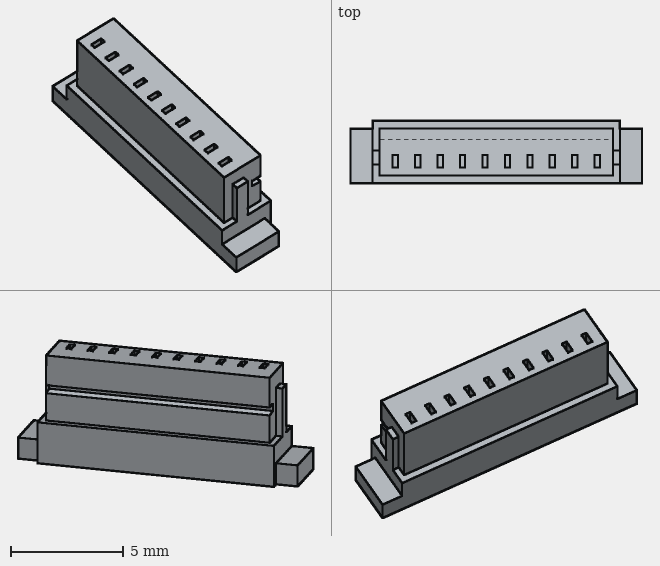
import cadquery as cq

overall_length = 13
overall_width = 2.8
overall_height = 5.0
base_length = 11.0
base_height = 1.94
flange_height = 1.0
flange_width = 2.45

housing_length = 10.4
housing_inset = 0.35

rib_top = 4.2
rib_front_offset = 0.85
rib_width = 0.62

groove_depth = 0.48
groove_top = 3.6
groove_inner_bottom = 3.28
groove_outer_bottom = 3.22

slot_count = 10
slot_row_span = 9.0
slot_pitch = slot_row_span / (slot_count - 1)
slot_length = 0.23
slot_width = 0.56
slot_front_offset = 0.7

front_y = -overall_width / 2
rear_y = overall_width / 2
housing_rear_y = rear_y - housing_inset
housing_width = overall_width - 2 * housing_inset


def block(length, width, front, bottom, top):
    """Box centred on X = 0, with its front face at Y = front."""
    height = top - bottom
    solid = cq.Workplane("XY").box(length, width, height, centered=(True, False, False))
    return solid.translate((0, front, bottom))


def make_body():
    flanges = block(overall_length, flange_width, front_y, 0, flange_height)
    base = block(base_length, overall_width, front_y, 0, base_height)
    housing = block(housing_length, housing_width, front_y + housing_inset, 0, overall_height)
    ribs = block(base_length, rib_width, front_y + rib_front_offset, 0, rib_top)
    return base.union(flanges).union(housing).union(ribs)


def make_groove():
    groove_floor_y = housing_rear_y - groove_depth
    profile = [
        (housing_rear_y, groove_top),
        (groove_floor_y, groove_top),
        (groove_floor_y, groove_inner_bottom),
        (housing_rear_y, groove_outer_bottom),
    ]
    return cq.Workplane("YZ").polyline(profile).close().extrude(housing_length / 2, both=True)


def make_slots():
    slot_depth = overall_height - base_height
    slot_y = front_y + slot_front_offset + slot_width / 2
    return (
        cq.Workplane("XY", origin=(0, 0, overall_height))
        .center(0, slot_y)
        .rarray(slot_pitch, 0.13, slot_count, 1)
        .rect(slot_length, slot_width)
        .extrude(-slot_depth)
    )


result = make_body().cut(make_groove()).cut(make_slots())